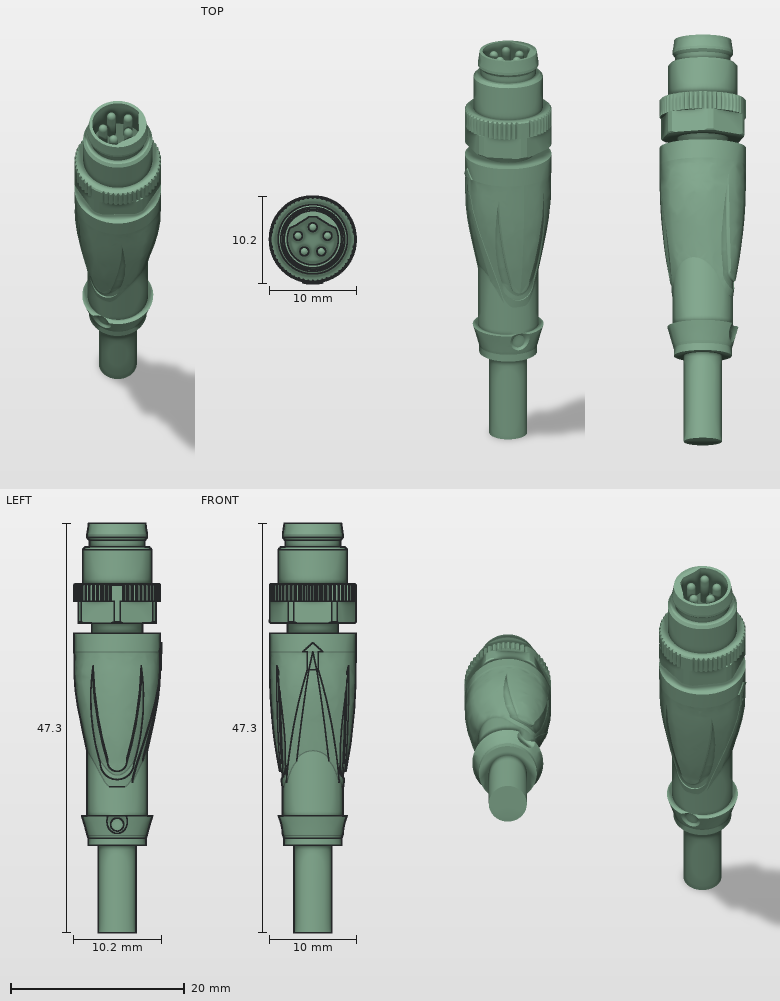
import cadquery as cq
import math


tool_clearance = 1.0

cable_length = 10.1
collar_height = 0.85
collar_top = cable_length + collar_height
collar_shoulder_height = 0.3
flare_bottom = collar_top + collar_shoulder_height
flare_height = 2.25
flare_top = flare_bottom + flare_height
barrel_bottom = 16.85
barrel_top = 32.45
grip_top = barrel_top + 2.15
nut_bottom = grip_top + 1.15
knurl_bottom = nut_bottom + 2.5
knurl_top = knurl_bottom + 2.05
sleeve_top = knurl_top + 4.25
total_height = 47.3

cable_radius = 2.2
collar_radius = 3.35
flare_bottom_radius = 3.45
flare_top_radius = 4.1
boot_radius = 3.5
grip_radius = 5.0
neck_radius = 2.95
nut_radius = 5.0
sleeve_radius = 4.0
sleeve_chamfer = 0.3

barrel_sections = [
    (barrel_top, grip_radius, grip_radius),
    (30.6, 4.985, 4.97),
    (27.3, 4.9, 4.76),
    (23.3, 4.57, 4.0),
    (19.8, 4.04, 3.25),
    (barrel_bottom, 3.53, 3.1),
]

groove_depth = 0.25
groove_top = 30.1
groove_arms_bottom = 19.6
groove_tip_offset = 2.87
groove_outer_mid = (3.0, 25.4)
groove_inner_mid = (2.4, 25.4)
groove_outer_half_width = 1.95
groove_inner_half_width = 1.1
groove_outer_bottom = 17.7
groove_inner_bottom = 18.65
panel_chamfer = 0.15
panel_edge_min_x = 3.75

arrow_head_relief = 0.15
arrow_leg_relief = 0.06
arrow_window_depth = 0.1
arrow_tip_z = grip_top - 1.1
arrow_head_half_width = 1.15
arrow_shaft_half_width = 0.63
arrow_window_half_width = 0.45
arrow_fork_z = 30.4
arrow_foot_z = 17.4
leg_outer_mid = (1.68, 26.45)
leg_outer_foot = 3.05
leg_inner_mid = (1.43, 23.5)
leg_inner_foot = 2.1

seat_height = flare_top - 1.0
seat_floor_radius = 0.75
seat_floor_x = 3.25
seat_slope_length = 1.5
seat_flare_angle = 45

hex_across_flats = 9.0
hex_turn = 30
nut_chamfer = 0.15
knurl_count = 54
knurl_depth = 0.25
knurl_groove_width = 0.4
plain_land_width = 1.3

tip_radius = 3.3
lip_radius = 3.5
lip_top = total_height - 1.35
lip_bottom = lip_top - 0.3
tip_neck_top = total_height - 2.0
tip_neck_radius = 3.2
cavity_radius = 2.95
cavity_depth = 4.0
key_peak_half_width = 0.45
key_peak_y = 2.58
key_shoulder = (1.9, 1.65)
key_side_x = 2.65
key_side_y = 1.3

pin_radius = 0.5
pin_recess = 0.2
pin_positions = [(0, 1.4), (-1.7, 0.4), (1.7, 0.4), (-0.98, -1.4), (0.98, -1.4)]


def cylinder(radius, bottom, top):
    return cq.Workplane("XY").workplane(offset=bottom).circle(radius).extrude(top - bottom)


def revolve_profile(points):
    """Revolve an (r, z) outline around the Z axis."""
    return cq.Workplane("XZ").polyline(points).close().revolve(360, (0, 0, 0), (0, 1, 0))


def make_barrel(offset):
    """Elliptical barrel under the round grip collar, with every radius grown by offset."""
    lower = cq.Workplane("XY")
    previous_z = 0
    for z, half_x, half_y in barrel_sections:
        lower = lower.workplane(offset=z - previous_z).ellipse(half_x + offset, half_y + offset)
        previous_z = z
    return lower.loft().union(cylinder(grip_radius + offset, barrel_top, grip_top))


def make_cable_end():
    profile = [
        (0, 0),
        (cable_radius, 0),
        (cable_radius, cable_length),
        (collar_radius, cable_length),
        (collar_radius, collar_top),
        (flare_bottom_radius, flare_bottom),
        (flare_top_radius, flare_top),
        (boot_radius, flare_top),
        (boot_radius, barrel_top),
        (neck_radius, barrel_top),
        (neck_radius, nut_bottom),
        (0, nut_bottom),
    ]
    return revolve_profile(profile)


def make_grip_grooves():
    """U-shaped bands crossing the part along X, limited to the skin of the barrel."""
    outer_y, outer_z = groove_outer_mid
    inner_y, inner_z = groove_inner_mid
    band = (
        cq.Workplane("YZ")
        .moveTo(-groove_tip_offset, groove_top)
        .threePointArc((-outer_y, outer_z), (-groove_outer_half_width, groove_arms_bottom))
        .threePointArc((0, groove_outer_bottom), (groove_outer_half_width, groove_arms_bottom))
        .threePointArc((outer_y, outer_z), (groove_tip_offset, groove_top))
        .threePointArc((inner_y, inner_z), (groove_inner_half_width, groove_arms_bottom))
        .threePointArc((0, groove_inner_bottom), (-groove_inner_half_width, groove_arms_bottom))
        .threePointArc((-inner_y, inner_z), (-groove_tip_offset, groove_top))
        .close()
        .extrude(grip_radius + tool_clearance, both=True)
    )
    return band.cut(make_barrel(-groove_depth))


def is_panel_edge(edge):
    """True for the outer edges of the panels inside the grip grooves."""
    box = edge.BoundingBox()
    reach = min(abs(box.xmin), abs(box.xmax))
    return reach > panel_edge_min_x and box.zmax < barrel_top and edge.geomType() == "BSPLINE"


def make_grip():
    grip = make_barrel(0).cut(make_grip_grooves())
    return grip.edges().filter(is_panel_edge).chamfer(panel_chamfer)


def mirrored_prism(half_outline):
    """Prism running from the axis out past the -Y side, from an (x, z) outline and its mirror image."""
    half = cq.Workplane("XZ").polyline(half_outline).close().extrude(grip_radius + tool_clearance)
    return half.union(half.mirror("YZ"))


def make_arrow_head():
    """Arrow head with the two sides of its shaft, standing proud of the -Y side."""
    outline = [
        (0, arrow_tip_z),
        (arrow_head_half_width, barrel_top),
        (arrow_shaft_half_width, barrel_top),
        (arrow_shaft_half_width, arrow_fork_z),
        (arrow_window_half_width, arrow_fork_z),
        (0, barrel_top),
    ]
    return mirrored_prism(outline).intersect(make_barrel(arrow_head_relief))


def make_arrow_window():
    """Triangular recess inside the arrow shaft."""
    outline = [(0, barrel_top), (arrow_window_half_width, arrow_fork_z), (0, arrow_fork_z)]
    return mirrored_prism(outline).cut(make_barrel(-arrow_window_depth))


def make_arrow_legs():
    """Low ribs spreading downward from the arrow shaft."""
    leg = (
        cq.Workplane("XZ")
        .moveTo(arrow_shaft_half_width, arrow_fork_z)
        .threePointArc(leg_outer_mid, (leg_outer_foot, arrow_foot_z))
        .lineTo(leg_inner_foot, arrow_foot_z)
        .threePointArc(leg_inner_mid, (arrow_window_half_width, arrow_fork_z))
        .close()
        .extrude(grip_radius + tool_clearance)
    )
    return leg.union(leg.mirror("YZ")).intersect(make_barrel(arrow_leg_relief))


def make_flare_seats():
    """Conical seats opening outward through the flare on both X sides."""
    seat = (
        cq.Workplane("YZ", origin=(seat_floor_x, 0, seat_height))
        .circle(seat_floor_radius)
        .extrude(seat_slope_length, taper=-seat_flare_angle)
    )
    return seat.union(seat.mirror("YZ"))


def make_knurl_grooves():
    """V grooves around the nut, leaving a plain land on each X side."""
    grooves = cq.Workplane("XY")
    land_angle = math.degrees(math.asin(plain_land_width / 2 / nut_radius))
    groove = (
        cq.Workplane("XY")
        .workplane(offset=knurl_bottom)
        .moveTo(nut_radius - knurl_depth, 0)
        .lineTo(nut_radius + knurl_depth, -knurl_groove_width)
        .lineTo(nut_radius + knurl_depth, knurl_groove_width)
        .close()
        .extrude(knurl_top - knurl_bottom + tool_clearance)
    )
    for index in range(knurl_count):
        angle = 360 / knurl_count * (index + 0.5)
        from_x_axis = min(angle % 180, 180 - angle % 180)
        if from_x_axis > land_angle:
            grooves.add(groove.rotate((0, 0, 0), (0, 0, 1), angle))
    return grooves.combine()


def make_nut():
    hexagon = (
        cq.Workplane("XY")
        .workplane(offset=nut_bottom)
        .polygon(6, hex_across_flats, circumscribed=True)
        .extrude(knurl_bottom - nut_bottom)
        .rotate((0, 0, 0), (0, 0, 1), hex_turn)
    )
    envelope = cylinder(nut_radius, nut_bottom, knurl_top).faces("<Z or >Z").chamfer(nut_chamfer)
    ring = cylinder(nut_radius, knurl_bottom, knurl_top).cut(make_knurl_grooves())
    return hexagon.union(ring).intersect(envelope)


def make_sleeve():
    return cylinder(sleeve_radius, knurl_top, sleeve_top).faces(">Z").chamfer(sleeve_chamfer)


def make_cavity():
    """Round cavity whose +Y side is closed off by a roof-shaped key."""
    bottom = total_height - cavity_depth
    shoulder_x, shoulder_y = key_shoulder
    opening = (
        cq.Workplane("XY")
        .workplane(offset=bottom)
        .moveTo(-key_peak_half_width, key_peak_y)
        .lineTo(key_peak_half_width, key_peak_y)
        .lineTo(shoulder_x, shoulder_y)
        .lineTo(key_side_x, key_side_y)
        .lineTo(cavity_radius, key_side_y)
        .lineTo(cavity_radius, -cavity_radius)
        .lineTo(-cavity_radius, -cavity_radius)
        .lineTo(-cavity_radius, key_side_y)
        .lineTo(-key_side_x, key_side_y)
        .lineTo(-shoulder_x, shoulder_y)
        .close()
        .extrude(cavity_depth)
    )
    return opening.intersect(cylinder(cavity_radius, bottom, total_height))


def make_pins():
    """Round-ended pins standing on the cavity floor."""
    bottom = total_height - cavity_depth
    length = cavity_depth - pin_recess
    pins = cq.Workplane("XY").workplane(offset=bottom).pushPoints(pin_positions)
    pins = pins.circle(pin_radius).extrude(length - pin_radius)
    domes = (
        cq.Workplane("XY")
        .workplane(offset=bottom + length - pin_radius)
        .pushPoints(pin_positions)
        .sphere(pin_radius)
    )
    return pins.union(domes)


def make_tip():
    profile = [
        (0, sleeve_top),
        (tip_neck_radius, sleeve_top),
        (tip_neck_radius, tip_neck_top),
        (lip_radius, lip_bottom),
        (lip_radius, lip_top),
        (tip_radius, total_height),
        (0, total_height),
    ]
    return revolve_profile(profile)


body = make_cable_end().union(make_grip())
body = body.union(make_arrow_head()).union(make_arrow_legs())
body = body.cut(make_arrow_window()).cut(make_flare_seats())
plug = make_nut().union(make_sleeve()).union(make_tip()).cut(make_cavity()).union(make_pins())
result = body.union(plug)